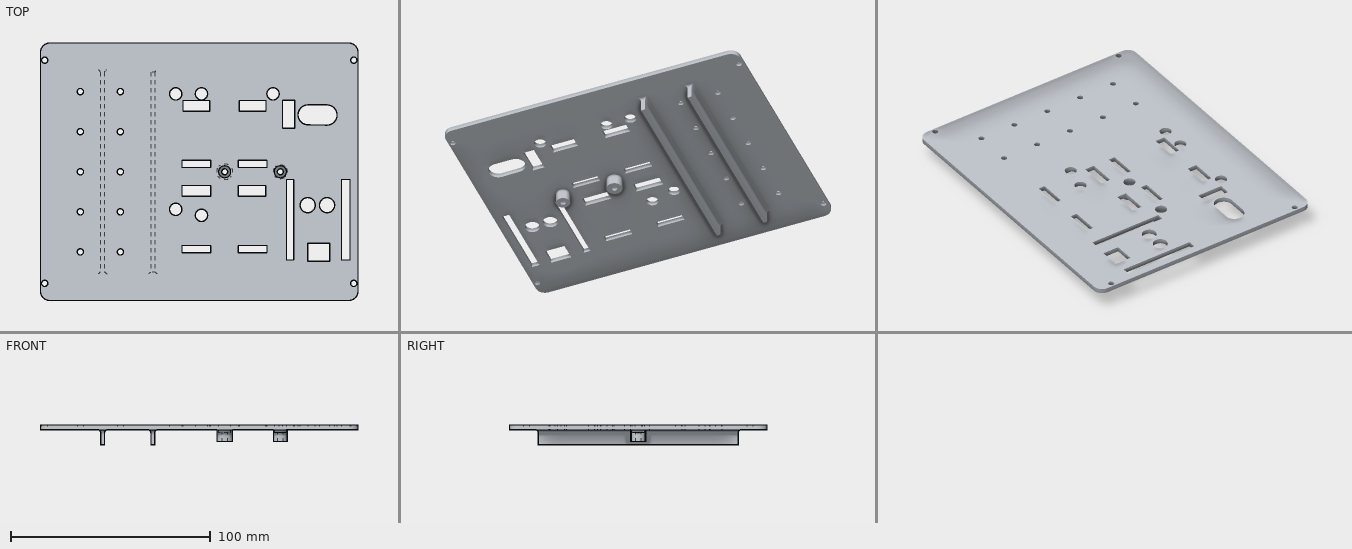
import cadquery as cq

PLATE_LENGTH = 159.0
PLATE_WIDTH = 129.0
PLATE_THICKNESS = 2.5
CORNER_RADIUS = 5.0
TOTAL_HEIGHT = 10.0

SMALL_HOLE_DIAMETER = 3.0
MOUNT_HOLE_EDGE_INSET = 2.2
MOUNT_HOLE_SPACING_Y = 111.6
GRID_CENTER_X = -49.5
GRID_PITCH = 20.0
GRID_COLUMNS = 2
GRID_ROWS = 5

MEDIUM_HOLE_DIAMETER = 6.0
MEDIUM_HOLE_CENTERS = [(-11.8, 39.0), (1.1, 39.0), (36.9, 39.0), (-11.8, -18.8), (1.1, -21.8)]
LARGE_HOLE_DIAMETER = 7.5
LARGE_HOLE_CENTERS = [(54.2, -16.7), (63.9, -16.7)]

LEFT_WINDOW_X = -1.5
RIGHT_WINDOW_X = 26.7
WINDOWS = [
    (LEFT_WINDOW_X, 32.9, 13.2, 5.2),
    (RIGHT_WINDOW_X, 32.9, 13.2, 5.2),
    (LEFT_WINDOW_X, 4.0, 14.3, 3.5),
    (RIGHT_WINDOW_X, 4.0, 14.3, 3.5),
    (LEFT_WINDOW_X, -9.5, 14.3, 5.2),
    (26.4, -9.5, 13.7, 5.2),
    (LEFT_WINDOW_X, -38.6, 14.3, 3.5),
    (RIGHT_WINDOW_X, -38.6, 14.3, 3.5),
    (44.7, 28.8, 6.0, 13.8),
    (45.5, -24.0, 3.5, 40.0),
    (73.3, -24.0, 4.1, 40.0),
    (59.8, -40.2, 10.8, 8.9),
]

OPENING_CENTER = (59.1, 28.5)
OPENING_LENGTH = 19.4
OPENING_WIDTH = 9.9
OPENING_EDGE_DROP = 0.2

RIB_CENTERS_X = [-48.3, -23.2]
RIB_LENGTH = 100.0
RIB_THICKNESS = 2.0
RIB_ROOT_FILLET = 1.5

BOSSES = [(12.7, 8.0, 4.0), (40.5, 7.0, 4.0)]
BOSS_BOTTOM_Z = -8.5
BOSS_BORE_DIAMETER = 6.0
SCREW_HOLE_DIAMETER = 2.9


def make_plate():
    """Rounded plate with its top face at Z = 0."""
    plate = cq.Workplane("XY").rect(PLATE_LENGTH, PLATE_WIDTH).extrude(-PLATE_THICKNESS)
    return plate.edges("|Z").fillet(CORNER_RADIUS)


def add_ribs(body):
    """Long ribs, filleted all round where they meet the plate."""
    ribs = (
        cq.Workplane("XY", origin=(0, 0, -PLATE_THICKNESS))
        .pushPoints([(x, 0) for x in RIB_CENTERS_X])
        .rect(RIB_THICKNESS, RIB_LENGTH)
        .extrude(PLATE_THICKNESS - TOTAL_HEIGHT)
    )
    body = body.union(ribs)
    reach_x = RIB_THICKNESS
    reach_y = RIB_LENGTH / 2 + RIB_THICKNESS
    half_depth = RIB_ROOT_FILLET / 2
    roots = cq.selectors.BoxSelector(
        (min(RIB_CENTERS_X) - reach_x, -reach_y, -PLATE_THICKNESS - half_depth),
        (max(RIB_CENTERS_X) + reach_x, reach_y, -PLATE_THICKNESS + half_depth),
    )
    return body.edges(roots).fillet(RIB_ROOT_FILLET)


def add_bosses(body):
    """Cylindrical bosses, bored from the top, with a screw hole in the floor."""
    for x, diameter, bore_depth in BOSSES:
        boss = cq.Workplane("XY", origin=(x, 0, BOSS_BOTTOM_Z)).circle(diameter / 2)
        body = body.union(boss.extrude(-PLATE_THICKNESS - BOSS_BOTTOM_Z))
        axis = cq.Workplane("XY").center(x, 0)
        body = body.cut(axis.circle(BOSS_BORE_DIAMETER / 2).extrude(-bore_depth))
        body = body.cut(axis.circle(SCREW_HOLE_DIAMETER / 2).extrude(BOSS_BOTTOM_Z))
    return body


def cut_round_holes(body, centers, diameter):
    """Holes through the plate only."""
    holes = cq.Workplane("XY").pushPoints(centers).circle(diameter / 2).extrude(-PLATE_THICKNESS)
    return body.cut(holes)


def small_hole_centers():
    """Corner mounting holes followed by the regular hole grid."""
    mount_x = PLATE_LENGTH / 2 - MOUNT_HOLE_EDGE_INSET
    mount_y = MOUNT_HOLE_SPACING_Y / 2
    centers = [(sx * mount_x, sy * mount_y) for sx in (-1, 1) for sy in (-1, 1)]
    for column in range(GRID_COLUMNS):
        for row in range(GRID_ROWS):
            x = GRID_CENTER_X + (column - (GRID_COLUMNS - 1) / 2) * GRID_PITCH
            y = (row - (GRID_ROWS - 1) / 2) * GRID_PITCH
            centers.append((x, y))
    return centers


def cut_windows(body):
    """Rectangular windows through the plate."""
    for x, y, size_x, size_y in WINDOWS:
        window = cq.Workplane("XY").center(x, y).rect(size_x, size_y)
        body = body.cut(window.extrude(-PLATE_THICKNESS))
    return body


def cut_opening(body):
    """Round-ended opening with the slightly sloping lower edge."""
    half_length = OPENING_LENGTH / 2
    half_width = OPENING_WIDTH / 2
    arc_start_x = half_length - half_width
    opening = (
        cq.Workplane("XY")
        .center(*OPENING_CENTER)
        .moveTo(-arc_start_x, half_width)
        .lineTo(arc_start_x, half_width)
        .threePointArc((half_length, 0), (arc_start_x, -half_width - OPENING_EDGE_DROP))
        .lineTo(-arc_start_x, -half_width)
        .threePointArc((-half_length, 0), (-arc_start_x, half_width))
        .close()
    )
    return body.cut(opening.extrude(-PLATE_THICKNESS))


result = make_plate()
result = add_ribs(result)
result = add_bosses(result)
result = cut_round_holes(result, small_hole_centers(), SMALL_HOLE_DIAMETER)
result = cut_round_holes(result, MEDIUM_HOLE_CENTERS, MEDIUM_HOLE_DIAMETER)
result = cut_round_holes(result, LARGE_HOLE_CENTERS, LARGE_HOLE_DIAMETER)
result = cut_windows(result)
result = cut_opening(result)